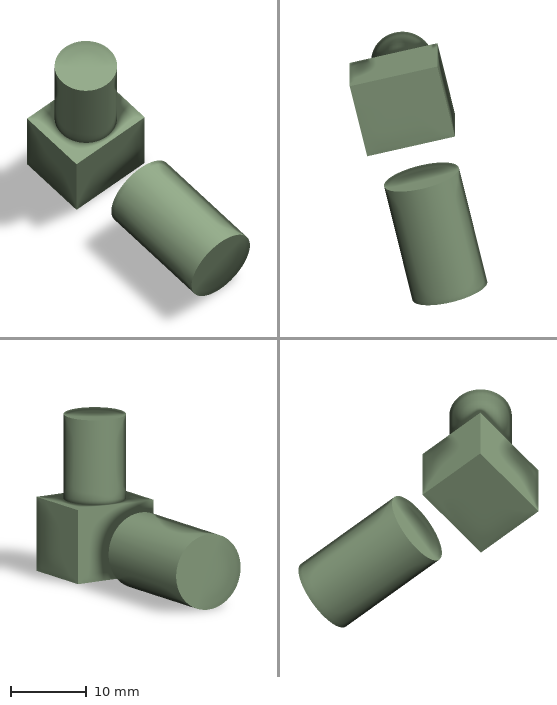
import cadquery as cq

overall_length = 32.27

block_length = 10.0
block_width = 11.9
block_height = 10.0

post_diameter = 8.25
post_height = 11.42

roller_diameter = 10.2
roller_length = 16.23


def make_block():
    return cq.Workplane("XY").box(block_length, block_width, block_height)


def make_post():
    block_top = block_height / 2
    return (
        cq.Workplane("XY")
        .workplane(offset=block_top)
        .circle(post_diameter / 2)
        .extrude(post_height)
    )


def make_roller():
    roller_start = overall_length - block_length / 2 - roller_length
    return (
        cq.Workplane("YZ")
        .workplane(offset=roller_start)
        .circle(roller_diameter / 2)
        .extrude(roller_length)
    )


block = make_block()
post = make_post()
roller = make_roller()

result = cq.Compound.makeCompound([block.val(), post.val(), roller.val()])